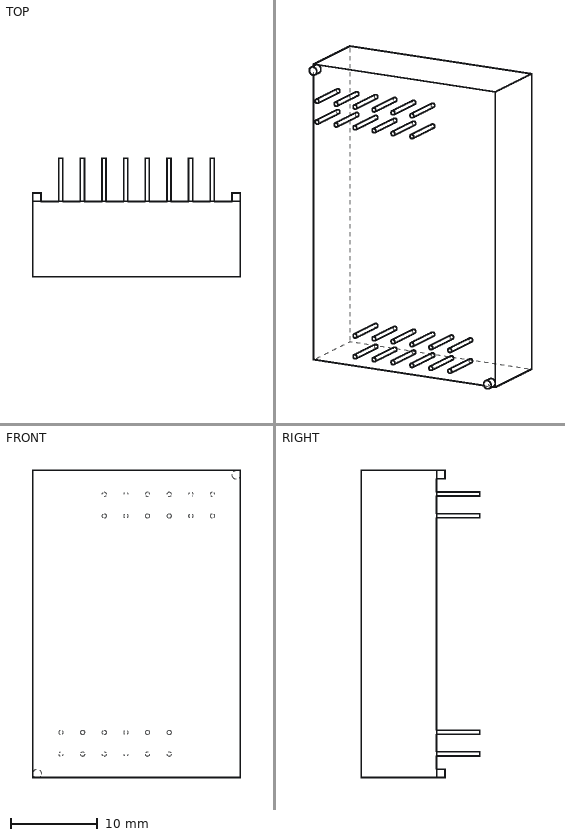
import cadquery as cq

WIDTH = 24.0
HEIGHT = 35.5
TOTAL_DEPTH = 13.7

PIN_DIAMETER = 0.5
PIN_LENGTH = 5.0
PIN_PITCH = 2.5
PIN_COLUMNS = 8
EMPTY_COLUMNS = 2
OUTER_ROW_Z = 15.0
INNER_ROW_Z = OUTER_ROW_Z - PIN_PITCH

FOOT_DIAMETER = 1.0
FOOT_LENGTH = 1.0

BODY_DEPTH = TOTAL_DEPTH - PIN_LENGTH


def make_body():
    return cq.Workplane("XY").box(WIDTH, BODY_DEPTH, HEIGHT).translate((0, -BODY_DEPTH / 2, 0))


def make_posts(centres, diameter, length):
    """Round posts standing on the back face and pointing along +Y."""
    return cq.Workplane("XZ").pushPoints(centres).circle(diameter / 2).extrude(-length)


def with_half_turn(centres):
    """The given (x, z) centres plus their copies turned 180 degrees about the Y axis."""
    return centres + [(-x, -z) for x, z in centres]


def pin_centres():
    first_x = -PIN_PITCH * (PIN_COLUMNS - 1) / 2
    top_columns = [first_x + i * PIN_PITCH for i in range(EMPTY_COLUMNS, PIN_COLUMNS)]
    top_pins = [(x, z) for x in top_columns for z in (OUTER_ROW_Z, INNER_ROW_Z)]
    return with_half_turn(top_pins)


def foot_centres():
    top_foot = ((WIDTH - FOOT_DIAMETER) / 2, (HEIGHT - FOOT_DIAMETER) / 2)
    return with_half_turn([top_foot])


pins = make_posts(pin_centres(), PIN_DIAMETER, PIN_LENGTH)
feet = make_posts(foot_centres(), FOOT_DIAMETER, FOOT_LENGTH)
result = make_body().union(pins).union(feet)